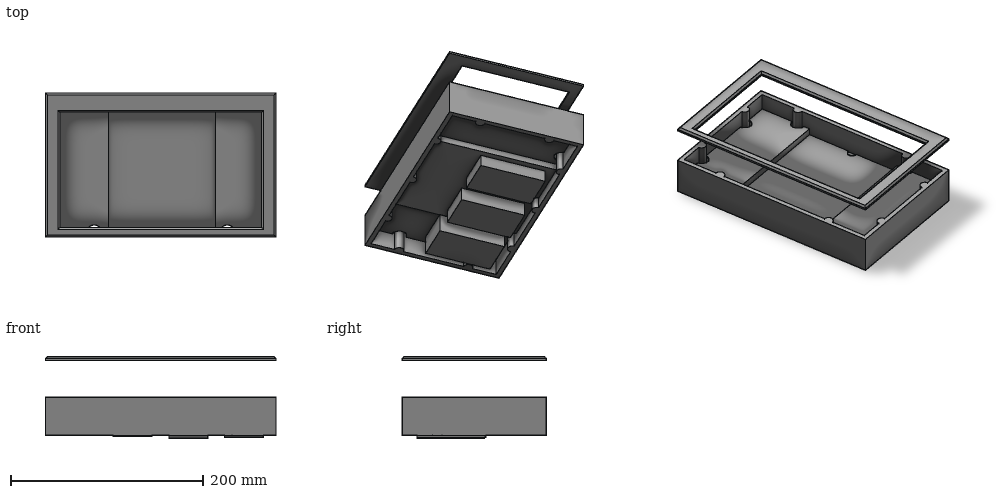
import cadquery as cq

length = 240.0
width = 150.0
housing_height = 40.0
wall = 5.0
inner_length = length - 2 * wall
inner_width = width - 2 * wall

post_radius = 5.0
long_wall_post_x = 69.3
short_wall_post_y = 38.6
post_centers = [(sx * long_wall_post_x, sy * inner_width / 2) for sx in (-1, 1) for sy in (-1, 1)]
post_centers += [(sx * inner_length / 2, sy * short_wall_post_y) for sx in (-1, 1) for sy in (-1, 1)]

sheet = 1.5
wing_top = 21.5
well_depth = 7.5
well_top = wing_top - well_depth
well_left = -54.5
well_right = 57.0
post_clearance_radius = 7.5

stub_radius = 5.0
stub_recess = 1.0
stub_top = well_top - stub_recess
stub_centers = [(0, sy * inner_width / 2) for sy in (-1, 1)]

frame_bottom = 78.0
frame_thickness = 4.0
frame_chamfer = 2.0
opening_length = 210.0
opening_width = 120.0
opening_center_y = -5.0

module_length = 40.5
module_front = -59.8
left_module_x = -29.5
middle_module_x = 28.7
right_module_x = 86.5
long_module_width = 72.0
short_module_width = 70.5
left_protrusion = 1.0
middle_protrusion = 3.0
right_protrusion = 2.0


def box(x_min, x_max, y_min, y_max, z_min, z_max):
    """Block given by its limits along each axis."""
    block = cq.Workplane("XY").box(x_max - x_min, y_max - y_min, z_max - z_min, centered=False)
    return block.translate((x_min, y_min, z_min))


def columns(centers, radius, z_min, z_max):
    """Upright cylinders at the given centres."""
    plane = cq.Workplane("XY").workplane(offset=z_min)
    return plane.pushPoints(centers).circle(radius).extrude(z_max - z_min)


def make_housing():
    walls = cq.Workplane("XY").rect(length, width).rect(inner_length, inner_width).extrude(housing_height)
    posts = columns(post_centers, post_radius, 0, housing_height)
    stubs = columns(stub_centers, stub_radius, 0, stub_top)
    return walls.union(posts, clean=False).union(stubs, clean=False)


def make_tray():
    half_length = inner_length / 2
    section = [
        (-half_length, wing_top),
        (well_left, wing_top),
        (well_left, well_top),
        (well_right, well_top),
        (well_right, wing_top),
        (half_length, wing_top),
        (half_length, wing_top - sheet),
        (well_right + sheet, wing_top - sheet),
        (well_right + sheet, well_top - sheet),
        (well_left - sheet, well_top - sheet),
        (well_left - sheet, wing_top - sheet),
        (-half_length, wing_top - sheet),
    ]
    tray = cq.Workplane("XZ").polyline(section).close().extrude(inner_width / 2, both=True)
    tray = tray.cut(columns(post_centers, post_clearance_radius, 0, housing_height))
    return tray.cut(columns(stub_centers, stub_radius, 0, housing_height))


def make_frame():
    frame_top = frame_bottom + frame_thickness
    plate = cq.Workplane("XY").workplane(offset=frame_bottom).rect(length, width).extrude(frame_thickness)
    opening = box(
        -opening_length / 2,
        opening_length / 2,
        opening_center_y - opening_width / 2,
        opening_center_y + opening_width / 2,
        frame_bottom,
        frame_top,
    )
    return plate.cut(opening).faces(">Z").edges().chamfer(frame_chamfer)


def make_module(center_x, module_width, protrusion, top):
    """Electronics block whose top touches the underside of the tray."""
    x_min = center_x - module_length / 2
    y_max = module_front + module_width
    return box(x_min, x_min + module_length, module_front, y_max, -protrusion, top)


well_underside = well_top - sheet
wing_underside = wing_top - sheet

housing = make_housing()
tray = make_tray()
frame = make_frame()
left_module = make_module(left_module_x, long_module_width, left_protrusion, well_underside)
middle_module = make_module(middle_module_x, short_module_width, middle_protrusion, well_underside)
right_module = make_module(right_module_x, long_module_width, right_protrusion, wing_underside)

result = cq.Compound.makeCompound(
    [
        housing.val(),
        tray.val(),
        frame.val(),
        left_module.val(),
        middle_module.val(),
        right_module.val(),
    ]
)